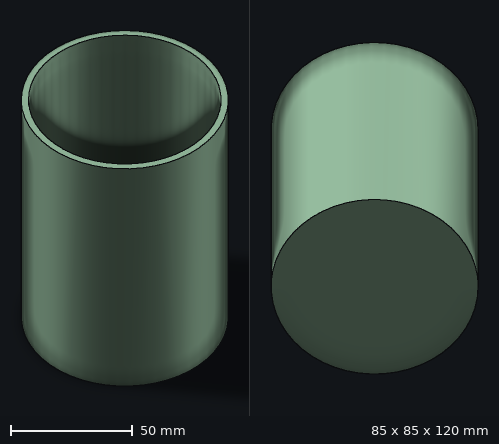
import cadquery as cq

outer_diameter = 85.0
inner_diameter = 79.0
height = 120.0

wall_thickness = (outer_diameter - inner_diameter) / 2
floor_thickness = wall_thickness


def cup_body():
    """Solid cylinder standing on the XY plane, centred on the Z axis."""
    return cq.Workplane("XY").circle(outer_diameter / 2).extrude(height)


def cup_cavity():
    """Round cavity, open at the top, that leaves a floor as thick as the wall."""
    return (
        cq.Workplane("XY")
        .workplane(offset=floor_thickness)
        .circle(inner_diameter / 2)
        .extrude(height - floor_thickness)
    )


result = cup_body().cut(cup_cavity())